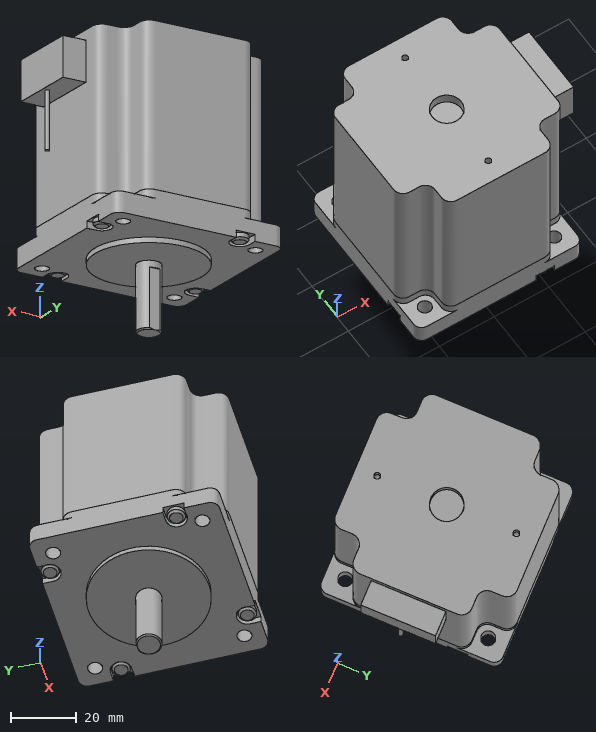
import cadquery as cq
import math


frame_size = 60.0
half_frame = frame_size / 2
flange_corner_radius = 3.0
scallop_radius = 3.5
scallop_size = 10.5

ear_height = 6.9
seam_height = 9.8
motor_height = 64.9

rear_recess_diameter = 10.5
rear_recess_depth = 3.6
rear_hole_diameter = 2.05
rear_hole_depth = 3.6
rear_hole_offset = 23.0
drill_tip_angle = 118

connector_reach = 8.2
connector_width = 24.65
connector_height = 13.7
connector_drop = 3.5
cable_diameter = 1.5
cable_length = 19.4
cable_inset = 2.0

mounting_hole_diameter = 4.5
mounting_hole_offset = 23.6
pilot_diameter = 38.1
pilot_height = 1.8
screw_count = 4
screw_offset = 16.2
screw_edge_distance = 3.4
screw_head_diameter = 5.6
screw_head_height = 2.1
screw_head_chamfer = 0.7
pocket_width = 6.7
pocket_depth = 2.3

overall_length = 89
shaft_diameter = 8.0
shaft_length = overall_length - motor_height
shaft_chamfer = 0.45
flat_depth = 0.45
flat_start = 2.2


def scalloped_column(bottom, top):
    """Square column with a rounded notch along each corner."""
    arm_width = frame_size - 2 * scallop_size
    height = top - bottom
    column = cq.Workplane("XY").workplane(offset=bottom).rect(frame_size, arm_width).extrude(height)
    column = column.union(
        cq.Workplane("XY").workplane(offset=bottom).rect(arm_width, frame_size).extrude(height)
    )
    return column.edges("|Z").fillet(scallop_radius)


def rear_hole_cutter(y):
    """Blind drilled hole with a conical tip, going down from the rear face."""
    radius = rear_hole_diameter / 2
    tip_height = radius / math.tan(math.radians(drill_tip_angle / 2))
    return (
        cq.Workplane("XZ", origin=(0, y, motor_height))
        .lineTo(radius, 0)
        .lineTo(radius, -rear_hole_depth)
        .lineTo(0, -rear_hole_depth - tip_height)
        .close()
        .revolve(360, (0, 0, 0), (0, 1, 0))
    )


def make_connector():
    """Connector block with the cable hanging from its underside."""
    connector_top = motor_height - connector_drop
    connector_bottom = connector_top - connector_height
    cable_x = half_frame + connector_reach - cable_inset
    block = cq.Workplane("XY", origin=(half_frame, 0, connector_bottom)).box(
        connector_reach, connector_width, connector_height, centered=(False, True, False)
    )
    cable = (
        cq.Workplane("XY", origin=(cable_x, 0, connector_bottom))
        .circle(cable_diameter / 2)
        .extrude(-cable_length)
    )
    return block.union(cable)


def make_housing():
    """Motor housing above the seam, with its connector."""
    housing = scalloped_column(seam_height, motor_height)
    recess = (
        cq.Workplane("XY", origin=(0, 0, motor_height))
        .circle(rear_recess_diameter / 2)
        .extrude(-rear_recess_depth)
    )
    housing = housing.cut(recess)
    for y in (-rear_hole_offset, rear_hole_offset):
        housing = housing.cut(rear_hole_cutter(y))
    return housing.union(make_connector())


def screw_pocket():
    """Round-ended slot that opens through the -Y side and the mounting face."""
    screw_y = screw_edge_distance - half_frame
    round_end = (
        cq.Workplane("XY", origin=(screw_offset, screw_y, 0)).circle(pocket_width / 2).extrude(pocket_depth)
    )
    mouth = cq.Workplane("XY", origin=(screw_offset, -half_frame, 0)).box(
        pocket_width, screw_edge_distance, pocket_depth, centered=(True, False, False)
    )
    return round_end.union(mouth)


def screw_head():
    """Screw head with a chamfered rim, fixed to the pocket floor and pointing down."""
    return (
        cq.Workplane("XY", origin=(screw_offset, screw_edge_distance - half_frame, pocket_depth))
        .circle(screw_head_diameter / 2)
        .extrude(-screw_head_height)
        .faces("<Z")
        .edges()
        .chamfer(screw_head_chamfer)
    )


def make_shaft():
    """Output shaft with a chamfered end and a flat on its +Y side."""
    shaft = (
        cq.Workplane("XY")
        .circle(shaft_diameter / 2)
        .extrude(-shaft_length)
        .faces("<Z")
        .chamfer(shaft_chamfer)
    )
    flat_length = shaft_length - pilot_height - flat_start
    flat_y = shaft_diameter / 2 - flat_depth
    flat_cutter = cq.Workplane("XY", origin=(0, flat_y, -shaft_length)).box(
        shaft_diameter, flat_depth, flat_length, centered=(True, False, False)
    )
    return shaft.cut(flat_cutter)


def make_front_flange():
    """Front flange with mounting ears, pilot, screw heads and shaft."""
    flange = (
        cq.Workplane("XY")
        .rect(frame_size, frame_size)
        .extrude(ear_height)
        .edges("|Z")
        .fillet(flange_corner_radius)
    )
    flange = flange.union(scalloped_column(ear_height, seam_height))
    mounting_holes = (
        cq.Workplane("XY")
        .rect(2 * mounting_hole_offset, 2 * mounting_hole_offset, forConstruction=True)
        .vertices()
        .circle(mounting_hole_diameter / 2)
        .extrude(ear_height)
    )
    flange = flange.cut(mounting_holes)
    for index in range(screw_count):
        angle = index * 360 / screw_count
        flange = flange.cut(screw_pocket().rotate((0, 0, 0), (0, 0, 1), angle))
        flange = flange.union(screw_head().rotate((0, 0, 0), (0, 0, 1), angle))
    pilot = cq.Workplane("XY").circle(pilot_diameter / 2).extrude(-pilot_height)
    return flange.union(pilot).union(make_shaft())


housing = make_housing()
front_flange = make_front_flange()

result = cq.Compound.makeCompound([housing.val(), front_flange.val()])